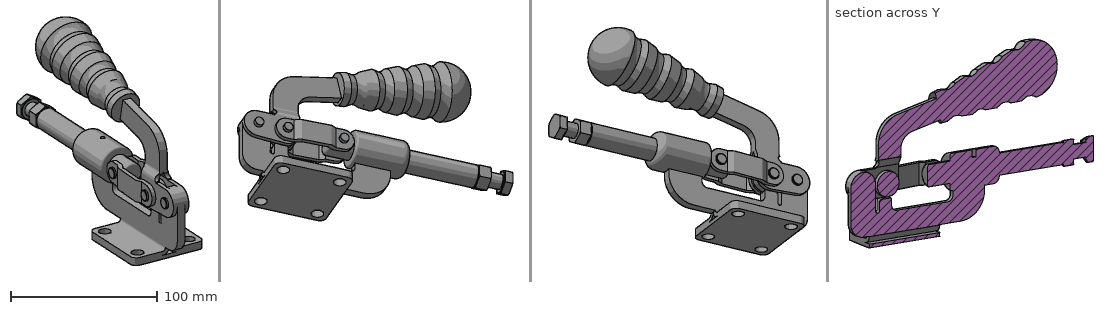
import cadquery as cq
import math

LENGTH = 196.8
COS_45 = math.cos(math.radians(45))
SHEET = 3.1
WEB = 2 * SHEET

BASE_SIZE = 57.0
BASE_THICKNESS = 6.0
BASE_LAYER = BASE_THICKNESS / 2
BASE_CENTER_X = 153.0
BASE_CORNER = 4.7
BASE_HOLE_DIAMETER = 8.7
BASE_HOLE_SPACING = 41.5
BEND_INNER = 2.4
BEND_OUTER = BEND_INNER + BASE_LAYER

AXIS_Z = 44.3
ROD_RADIUS = 8.0
ROD_START = 24.5
ROD_END = 134.5
ROD_CHAMFER = 0.8
TANG_ROUND = 1.8
SLEEVE_RADIUS = 13.4
SLEEVE_START = 76.1
SLEEVE_END = 116.5
SLEEVE_NOSE = 5.1
SLEEVE_EDGE = 1.5
OIL_HOLE_X = 96.8
OIL_HOLE_DIAMETER = 3.1
HEX_RADIUS = 9.2
HEX_CHAMFER = 0.5
HEAD_LENGTH = 5.7
COLLAR_RADIUS = 7.5
COLLAR_THICKNESS = 0.5
NUT_START = 16.0
NUT_LENGTH = ROD_START - NUT_START
THREAD_RADIUS = 5.3

FRONT_PIN_X = 125.1
MIDDLE_PIN_X = 166.3
MIDDLE_PIN_Z = 43.0
LUG_RADIUS = 10.2
REAR_PIN_X = LENGTH - LUG_RADIUS
PIN_RADIUS = 3.1
PIN_HEAD_RADIUS = 4.0
PIN_HEAD_THICKNESS = 1.5
PIN_HEAD_CHAMFER = 0.4
LINK_PIN_TAIL = 2.8
REAR_PIN_TAIL = 3.0
SPACER_RADIUS = 9.0

FRAME_FRONT = 88.0
FRAME_FRONT_RADIUS = 19.7
FRAME_BOTTOM = BASE_THICKNESS + BEND_INNER
FRAME_REAR_RADIUS = 10.8
FRAME_NECK_TOP = 33.5
WINDOW_FRONT = 114.1
WINDOW_REAR = 163.3
WINDOW_FLOOR = 23.8
WINDOW_RADIUS = 4.0
POST_TOP = 33.3
POST_REAR = 173.4
POST_ROUND = 1.4
SLOT_REAR = REAR_PIN_X - LUG_RADIUS
SLOT_BOTTOM = 24.0

LINK_RADIUS = 8.0
LINK_END_INNER = WEB
LINK_MIDDLE_INNER = 8.5
LINK_BENDS_X = (130.5, 134.5, 156.8, 161.4)
LINK_BEND_RADIUS = 2.4

HANDLE_FRONT = 155.8
HANDLE_REAR = 174.3
HANDLE_TILT = 12.0
HANDLE_OUTER_CORNER_Z = 88.2
HANDLE_OUTER_RADIUS = 19.7
HANDLE_INNER_RADIUS = 11.5
HANDLE_BAR_WIDTH = 16.1
HANDLE_BAR_START = 102.3
FORK_TOP = 62.0
FORK_BOTTOM = 56.3
FORK_INNER_DROP = 1.0
FORK_TOP_BEND_RADIUS = 2.4
FORK_BOTTOM_BEND_RADIUS = 6.0
NOTCH_X = 175.1
NOTCH_Z = 57.7
NOTCH_RADIUS = 2.5

BALL_RADIUS = 20.75
BALL_X = 50.0
BALL_Z = 128.3 - BALL_RADIUS
BALL_EDGE = (0.8, 20.7)
GRIP_TILT = 12.3
GRIP_VALLEYS = ((7.9, 17.5), (27.5, 15.0), (47.2, 12.5), (67.3, 10.2))
RING_STARTS = ((12.8, 19.0), (32.7, 16.7), (52.3, 14.4), (72.5, 11.8))
RING_ENDS = ((20.9, 17.5), (41.5, 15.0), (60.6, 12.4), (77.7, 11.5))
VALLEY_RADIUS = 10.8


def x_cylinder(start, end, radius):
    plane = cq.Workplane("YZ", origin=(start, 0, AXIS_Z))
    return plane.circle(radius).extrude(end - start)


def y_cylinder(x, z, y_start, y_end, radius):
    plane = cq.Workplane("XZ", origin=(x, y_start, z))
    return plane.circle(radius).extrude(y_start - y_end)


def side_plate(outline, half_width):
    return outline.extrude(half_width, both=True)


def fillet_near(solid, point, radius):
    return solid.edges(cq.selectors.NearestToPointSelector(point)).fillet(radius)


def make_base():
    lower = (
        cq.Workplane("XY")
        .center(BASE_CENTER_X, 0)
        .rect(BASE_SIZE, BASE_SIZE)
        .extrude(BASE_LAYER)
    )

    half = BASE_SIZE / 2
    rise = BASE_LAYER + BEND_OUTER
    flange = (
        cq.Workplane("YZ", origin=(BASE_CENTER_X - half, 0, 0))
        .moveTo(0, rise)
        .threePointArc(
            (BEND_OUTER * (1 - COS_45), rise - BEND_OUTER * COS_45),
            (BEND_OUTER, BASE_LAYER),
        )
        .lineTo(half, BASE_LAYER)
        .lineTo(half, BASE_THICKNESS)
        .lineTo(SHEET + BEND_INNER, BASE_THICKNESS)
        .threePointArc(
            (
                SHEET + BEND_INNER * (1 - COS_45),
                FRAME_BOTTOM - BEND_INNER * COS_45,
            ),
            (SHEET, FRAME_BOTTOM),
        )
        .lineTo(SHEET, WINDOW_FLOOR)
        .lineTo(0, WINDOW_FLOOR)
        .close()
        .extrude(BASE_SIZE)
    )
    base = lower.union(flange).union(flange.mirror("XZ"))
    corners = (
        cq.Workplane("XY")
        .center(BASE_CENTER_X, 0)
        .rect(BASE_SIZE, BASE_SIZE)
        .extrude(WINDOW_FLOOR)
        .edges("|Z")
        .fillet(BASE_CORNER)
    )
    holes = (
        cq.Workplane("XY")
        .center(BASE_CENTER_X, 0)
        .rect(BASE_HOLE_SPACING, BASE_HOLE_SPACING, forConstruction=True)
        .vertices()
        .circle(BASE_HOLE_DIAMETER / 2)
        .extrude(BASE_THICKNESS)
    )
    return base.intersect(corners).cut(holes)


def make_frame():
    slot_width = SLOT_REAR - POST_REAR
    slot_radius = slot_width / 2
    outline = (
        cq.Workplane("XZ")
        .moveTo(FRAME_FRONT, FRAME_BOTTOM)
        .lineTo(LENGTH, FRAME_BOTTOM)
        .lineTo(LENGTH, AXIS_Z)
        .threePointArc((REAR_PIN_X, AXIS_Z + LUG_RADIUS), (SLOT_REAR, AXIS_Z))
        .lineTo(SLOT_REAR, SLOT_BOTTOM + slot_radius)
        .threePointArc(
            (SLOT_REAR - slot_radius, SLOT_BOTTOM),
            (POST_REAR, SLOT_BOTTOM + slot_radius),
        )
        .lineTo(POST_REAR, POST_TOP)
        .lineTo(WINDOW_REAR, POST_TOP)
        .lineTo(WINDOW_REAR, WINDOW_FLOOR)
        .lineTo(WINDOW_FRONT, WINDOW_FLOOR)
        .lineTo(WINDOW_FRONT, FRAME_NECK_TOP)
        .lineTo(FRAME_FRONT, FRAME_NECK_TOP)
        .close()
    )
    frame = side_plate(outline, SHEET)

    rounded_corners = (
        (FRAME_FRONT, FRAME_BOTTOM, FRAME_FRONT_RADIUS),
        (LENGTH, FRAME_BOTTOM, FRAME_REAR_RADIUS),
        (WINDOW_FRONT, WINDOW_FLOOR, WINDOW_RADIUS),
        (WINDOW_REAR, WINDOW_FLOOR, WINDOW_RADIUS),
        (WINDOW_REAR, POST_TOP, POST_ROUND),
        (POST_REAR, POST_TOP, POST_ROUND),
    )
    for x, z, radius in rounded_corners:
        frame = fillet_near(frame, (x, 0, z), radius)
    return frame


def make_plunger():
    rod = x_cylinder(ROD_START, ROD_END, ROD_RADIUS)
    rod = rod.faces("<X").chamfer(ROD_CHAMFER).faces(">X").fillet(TANG_ROUND)
    tang_length = ROD_END - SLEEVE_END
    flats = (
        cq.Workplane("XY", origin=(SLEEVE_END, 0, AXIS_Z))
        .rect(2 * tang_length, 4 * ROD_RADIUS)
        .rect(2 * tang_length, 2 * LINK_END_INNER)
        .extrude(ROD_RADIUS, both=True)
    )
    rod = rod.cut(flats)

    sleeve = x_cylinder(SLEEVE_START, SLEEVE_END, SLEEVE_RADIUS)
    sleeve = sleeve.faces("<X").edges().fillet(SLEEVE_NOSE)
    sleeve = sleeve.faces(">X").edges().fillet(SLEEVE_EDGE)
    oil_hole = (
        cq.Workplane("XY", origin=(OIL_HOLE_X, 0, AXIS_Z + ROD_RADIUS))
        .circle(OIL_HOLE_DIAMETER / 2)
        .extrude(SLEEVE_RADIUS)
    )
    return rod.union(sleeve.cut(oil_hole))


def make_hexagon(start, length, chamfered_faces):
    hexagon = (
        cq.Workplane("YZ", origin=(start, 0, AXIS_Z))
        .transformed(rotate=(0, 0, 90))
        .polygon(6, 2 * HEX_RADIUS)
        .extrude(length)
    )
    blank = x_cylinder(start, start + length, HEX_RADIUS)
    return hexagon.intersect(blank.faces(chamfered_faces).chamfer(HEX_CHAMFER))


def make_bolt():
    head = make_hexagon(0, HEAD_LENGTH, "<X")
    collar = x_cylinder(HEAD_LENGTH, HEAD_LENGTH + COLLAR_THICKNESS, COLLAR_RADIUS)
    thread = x_cylinder(HEAD_LENGTH, ROD_START, THREAD_RADIUS)
    nut = make_hexagon(NUT_START, NUT_LENGTH, "<X or >X")
    return head.union(collar).union(thread).union(nut)


def make_links():
    bend_1, bend_2, bend_3, bend_4 = LINK_BENDS_X
    front = FRONT_PIN_X - LINK_RADIUS
    rear = MIDDLE_PIN_X + LINK_RADIUS
    end_outer = LINK_END_INNER + SHEET
    middle_outer = LINK_MIDDLE_INNER + SHEET
    strip = (
        cq.Workplane("XY")
        .polyline([
            (front, LINK_END_INNER),
            (bend_1 + SHEET / 2, LINK_END_INNER),
            (bend_2 + SHEET / 2, LINK_MIDDLE_INNER),
            (bend_3 - SHEET / 2, LINK_MIDDLE_INNER),
            (bend_4 - SHEET / 2, LINK_END_INNER),
            (rear, LINK_END_INNER),
            (rear, end_outer),
            (bend_4, end_outer),
            (bend_3, middle_outer),
            (bend_2, middle_outer),
            (bend_1, end_outer),
            (front, end_outer),
        ])
        .close()
        .extrude(2 * AXIS_Z)
        .edges("|Z and >Y")
        .fillet(LINK_BEND_RADIUS)
    )

    drop = AXIS_Z - MIDDLE_PIN_Z
    span = MIDDLE_PIN_X - FRONT_PIN_X
    slope = math.degrees(math.atan2(drop, span))
    length = math.hypot(span, drop) + 2 * LINK_RADIUS
    middle = ((FRONT_PIN_X + MIDDLE_PIN_X) / 2, 0, (AXIS_Z + MIDDLE_PIN_Z) / 2)
    profile = (
        cq.Workplane("XZ", origin=middle)
        .slot2D(length, 2 * LINK_RADIUS, -slope)
        .extrude(middle_outer, both=True)
    )
    link = strip.intersect(profile)
    return link.union(link.mirror("XZ"))


def make_handle():
    tilt = math.radians(HANDLE_TILT)
    bar_height = HANDLE_BAR_WIDTH / math.cos(tilt)

    def bar_top(x):
        return HANDLE_OUTER_CORNER_Z + (HANDLE_REAR - x) * math.tan(tilt)

    bar_section = (
        cq.Workplane("XZ")
        .polyline([
            (HANDLE_FRONT, MIDDLE_PIN_Z),
            (HANDLE_FRONT, bar_top(HANDLE_FRONT) - bar_height),
            (HANDLE_BAR_START, bar_top(HANDLE_BAR_START) - bar_height),
            (HANDLE_BAR_START, bar_top(HANDLE_BAR_START)),
            (HANDLE_REAR, HANDLE_OUTER_CORNER_Z),
            (HANDLE_REAR, MIDDLE_PIN_Z),
        ])
        .close()
    )
    side = side_plate(bar_section, WEB)
    outer_corner = (HANDLE_REAR, 0, HANDLE_OUTER_CORNER_Z)
    inner_corner = (HANDLE_FRONT, 0, bar_top(HANDLE_FRONT) - bar_height)
    side = fillet_near(side, outer_corner, HANDLE_OUTER_RADIUS)
    side = fillet_near(side, inner_corner, HANDLE_INNER_RADIUS)

    lug_section = (
        cq.Workplane("XZ")
        .moveTo(MIDDLE_PIN_X, MIDDLE_PIN_Z - LUG_RADIUS)
        .lineTo(REAR_PIN_X, AXIS_Z - LUG_RADIUS)
        .threePointArc((LENGTH, AXIS_Z), (REAR_PIN_X, AXIS_Z + LUG_RADIUS))
        .lineTo(MIDDLE_PIN_X, AXIS_Z + LUG_RADIUS)
        .lineTo(HANDLE_FRONT, AXIS_Z + LUG_RADIUS)
        .lineTo(HANDLE_FRONT, MIDDLE_PIN_Z)
        .threePointArc(
            (
                MIDDLE_PIN_X - LUG_RADIUS * COS_45,
                MIDDLE_PIN_Z - LUG_RADIUS * COS_45,
            ),
            (MIDDLE_PIN_X, MIDDLE_PIN_Z - LUG_RADIUS),
        )
        .close()
    )
    side = side.union(side_plate(lug_section, WEB))
    side = side.cut(y_cylinder(NOTCH_X, NOTCH_Z, -WEB, WEB, NOTCH_RADIUS))

    half_section = (
        cq.Workplane("YZ")
        .polyline([
            (0, BALL_Z),
            (SHEET, BALL_Z),
            (SHEET, FORK_TOP),
            (WEB, FORK_BOTTOM),
            (WEB, 0),
            (SHEET, 0),
            (SHEET, FORK_BOTTOM - FORK_INNER_DROP),
            (0, FORK_TOP - FORK_INNER_DROP),
        ])
        .close()
        .extrude(LENGTH)
    )
    bends = (
        (SHEET, FORK_TOP, FORK_TOP_BEND_RADIUS),
        (WEB, FORK_BOTTOM, FORK_BOTTOM_BEND_RADIUS),
    )
    for y, z, radius in bends:
        half_section = fillet_near(half_section, (LENGTH / 2, y, z), radius)
    section = half_section.union(half_section.mirror("XZ"))
    return side.intersect(section)


def make_grip():
    tilt = math.radians(GRIP_TILT)
    plane = cq.Plane(
        origin=(BALL_X, 0, BALL_Z),
        xDir=(math.cos(tilt), 0, -math.sin(tilt)),
        normal=(0, -1, 0),
    )
    profile = (
        cq.Workplane(plane)
        .moveTo(-BALL_RADIUS, 0)
        .threePointArc(
            (-BALL_RADIUS * COS_45, BALL_RADIUS * COS_45),
            (0, BALL_RADIUS),
        )
        .lineTo(*BALL_EDGE)
    )
    for valley, start, end in zip(GRIP_VALLEYS, RING_STARTS, RING_ENDS):
        profile = profile.radiusArc(valley, -VALLEY_RADIUS).lineTo(*start).lineTo(*end)
    profile = profile.lineTo(RING_ENDS[-1][0], 0).close()
    return profile.revolve(360, (0, 0, 0), (1, 0, 0))


def make_pin(x, z, half_width, tail):
    head_face = -half_width - PIN_HEAD_THICKNESS
    shank = y_cylinder(x, z, -half_width, half_width + tail, PIN_RADIUS)
    head = y_cylinder(x, z, head_face, -half_width, PIN_HEAD_RADIUS)
    return shank.union(head.faces("<Y").chamfer(PIN_HEAD_CHAMFER))


def make_pins():
    link_half_width = LINK_END_INNER + SHEET
    front = make_pin(FRONT_PIN_X, AXIS_Z, link_half_width, LINK_PIN_TAIL)
    middle = make_pin(MIDDLE_PIN_X, MIDDLE_PIN_Z, link_half_width, LINK_PIN_TAIL)
    rear = make_pin(REAR_PIN_X, AXIS_Z, WEB, REAR_PIN_TAIL)
    spacer = y_cylinder(MIDDLE_PIN_X, MIDDLE_PIN_Z, -SHEET, SHEET, SPACER_RADIUS)
    return front.union(middle).union(spacer).union(rear)


result = (
    make_frame()
    .union(make_base())
    .union(make_plunger())
    .union(make_bolt())
    .union(make_links())
    .union(make_handle())
    .union(make_grip())
    .union(make_pins())
)